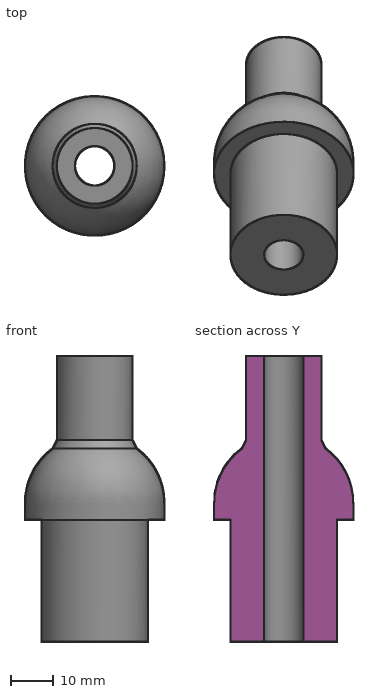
import cadquery as cq
import math

bore_diameter = 9.3
spigot_diameter = 18.0
cone_base_diameter = 20.0
collar_diameter = 33.2
shank_diameter = 25.4

shank_height = 29.0
collar_height = 4.0
dome_height = 13.0
cone_height = 2.0
spigot_height = 20.0

collar_bottom = shank_height
dome_bottom = collar_bottom + collar_height
cone_bottom = dome_bottom + dome_height
spigot_bottom = cone_bottom + cone_height
total_height = spigot_bottom + spigot_height

collar_radius = collar_diameter / 2
cone_base_radius = cone_base_diameter / 2
dome_inset = collar_radius - cone_base_radius
dome_radius = (dome_inset**2 + dome_height**2) / (2 * dome_inset)
dome_center_offset = collar_radius - dome_radius
half_way_angle = math.asin(dome_height / dome_radius) / 2
dome_mid_point = (
    dome_center_offset + dome_radius * math.cos(half_way_angle),
    dome_bottom + dome_radius * math.sin(half_way_angle),
)


def make_body():
    """Solid of revolution about Z: shank, collar, dome, cone and spigot."""
    shank_radius = shank_diameter / 2
    spigot_radius = spigot_diameter / 2
    half_section = (
        cq.Workplane("XZ")
        .moveTo(0, 0)
        .lineTo(shank_radius, 0)
        .lineTo(shank_radius, collar_bottom)
        .lineTo(collar_radius, collar_bottom)
        .lineTo(collar_radius, dome_bottom)
        .threePointArc(dome_mid_point, (cone_base_radius, cone_bottom))
        .lineTo(spigot_radius, spigot_bottom)
        .lineTo(spigot_radius, total_height)
        .lineTo(0, total_height)
        .close()
    )
    return half_section.revolve(360, (0, 0, 0), (0, 1, 0))


def make_bore():
    """Round through-bore along the axis."""
    return cq.Workplane("XY").circle(bore_diameter / 2).extrude(total_height)


result = make_body().cut(make_bore())